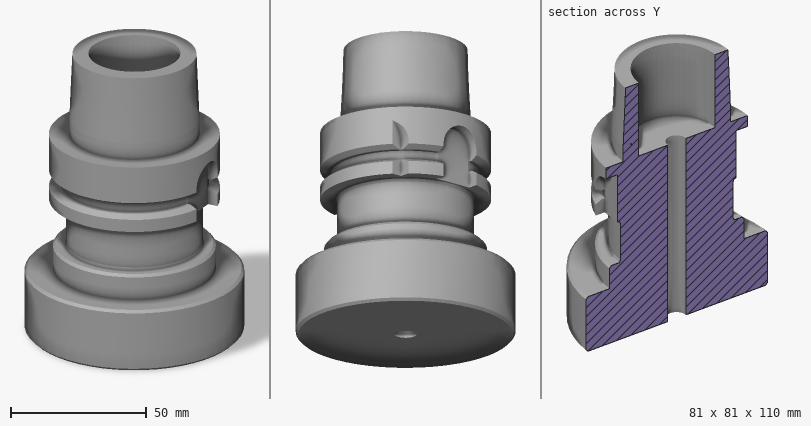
import cadquery as cq

total_height = 110.0
base_top = 24.2
collar_top = 34.1
lip_bottom = 52.0
groove_bottom = 58.3
groove_top = 62.2
flange_top = 77.9
taper_bottom = 84.3

base_radius = 40.5
collar_radius = 30.0
body_radius = 25.2
groove_radius = 27.5
flange_radius = 31.52
shank_radius = 24.0
shank_top_radius = 22.9

edge_chamfer = 1.0
flare_width = 0.4
groove_chamfer_width = 2.4
groove_chamfer_height = 1.4

bore_radius = 16.9
bore_floor = flange_top
through_hole_radius = 4.1

slot_center_height = 64.9
drive_slot_radius = 8.0
drive_slot_floor = 26.5
side_notch_radius = 9.2
side_notch_floor = 20.2
side_notch_inner_edge = 19.9


def turned_body():
    """Outer shape, revolved about the Z axis."""
    groove_lip_radius = flange_radius - groove_chamfer_width
    flare_radius = body_radius + flare_width
    profile = [
        (0, 0),
        (base_radius - edge_chamfer, 0),
        (base_radius, edge_chamfer),
        (base_radius, base_top - edge_chamfer),
        (base_radius - edge_chamfer, base_top),
        (collar_radius, base_top),
        (collar_radius, collar_top - edge_chamfer),
        (collar_radius - edge_chamfer, collar_top),
        (flare_radius, collar_top),
        (body_radius, collar_top + edge_chamfer),
        (body_radius, lip_bottom - edge_chamfer),
        (flare_radius, lip_bottom),
        (flange_radius, lip_bottom),
        (flange_radius, groove_bottom - groove_chamfer_height),
        (groove_lip_radius, groove_bottom),
        (groove_radius, groove_bottom),
        (groove_radius, groove_top),
        (groove_lip_radius, groove_top),
        (flange_radius, groove_top + groove_chamfer_height),
        (flange_radius, flange_top),
        (shank_radius, flange_top),
        (shank_radius, taper_bottom),
        (shank_top_radius, total_height),
        (0, total_height),
    ]
    return cq.Workplane("XZ").polyline(profile).close().revolve(360, (0, 0), (0, 1))


def axial_hole(radius, floor):
    """Round cutter from the given height up to the top face."""
    return cq.Workplane("XY").workplane(offset=floor).circle(radius).extrude(total_height - floor)


def arched_cutter(floor, center_y, radius, side):
    """Round-topped slot through the flange, open outward along X and at the lip's underside."""
    return (
        cq.Workplane("YZ")
        .workplane(offset=side * floor)
        .moveTo(center_y - radius, lip_bottom)
        .lineTo(center_y - radius, slot_center_height)
        .threePointArc((center_y, slot_center_height + radius), (center_y + radius, slot_center_height))
        .lineTo(center_y + radius, lip_bottom)
        .close()
        .extrude(side * (flange_radius - floor))
    )


result = turned_body()
result = result.cut(axial_hole(bore_radius, bore_floor))
result = result.cut(axial_hole(through_hole_radius, 0))

for side in (-1, 1):
    result = result.cut(arched_cutter(drive_slot_floor, 0, drive_slot_radius, side))

side_notch_center = side_notch_inner_edge + side_notch_radius
result = result.cut(arched_cutter(side_notch_floor, side_notch_center, side_notch_radius, -1))